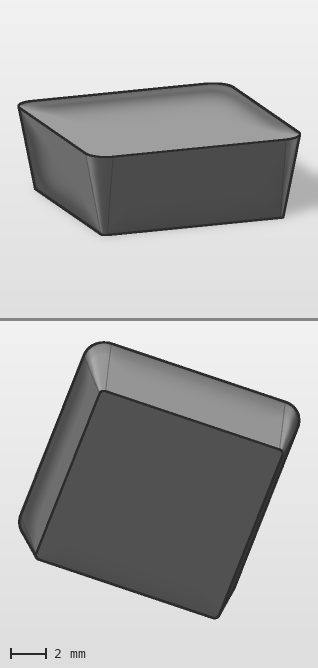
import cadquery as cq
import math

top_side = 12.7
thickness = 4.76
top_corner_radius = 1.2
relief_angle = 11.0

inset = thickness * math.tan(math.radians(relief_angle))
base_side = top_side - 2 * inset
base_corner_radius = top_corner_radius - inset

base_outline = (
    cq.Sketch()
    .rect(base_side, base_side)
    .vertices()
    .fillet(base_corner_radius)
)

result = (
    cq.Workplane("XY")
    .placeSketch(base_outline)
    .extrude(thickness, taper=-relief_angle)
)